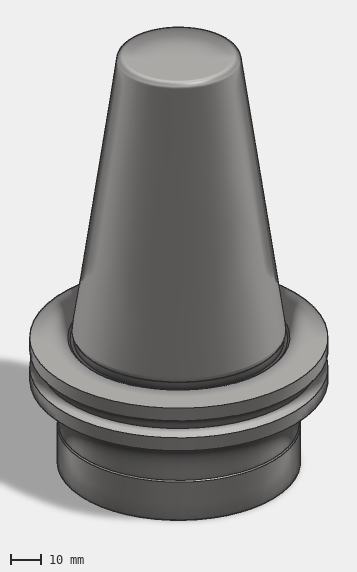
import cadquery as cq
import math

total_height = 151.8
taper_ratio = 7 / 24
gauge_radius = 34.9
gauge_height = 50.1
gauge_land = 1.0
tip_fillet = 2.3

flange_radius = 48.7
flange_bottom = 31.0
flange_top = 46.7
groove_middle = 38.8
groove_mouth = 6.2
groove_floor_radius = 45.4
groove_floor_width = 2.9

neck_radius = 34.5
neck_chamfer = 0.5
relief_outer_radius = 36.3
relief_floor_radius = 35.5
relief_depth = 0.8

collar_radius = 39.8
collar_height = 14.9
collar_chamfer = 0.5
body_radius = 39.3
body_fillet = 0.8

tip_radius = gauge_radius - (total_height - gauge_height) * taper_ratio / 2


def cylinder(radius, bottom, top):
    """Solid cylinder on the Z axis between two heights."""
    return cq.Workplane("XY").workplane(offset=bottom).circle(radius).extrude(top - bottom)


def make_base():
    """Collar with chamfered rims below a slightly slimmer body."""
    collar = cylinder(collar_radius, 0, collar_height).faces("<Z or >Z").chamfer(collar_chamfer)
    return collar.union(cylinder(body_radius, collar_chamfer, flange_bottom))


def make_flange():
    """Flange with a V-sided gripper groove and a relief ring on top."""
    half_mouth = groove_mouth / 2
    half_floor = groove_floor_width / 2
    groove = (
        cq.Workplane("XZ")
        .moveTo(flange_radius, groove_middle - half_mouth)
        .lineTo(groove_floor_radius, groove_middle - half_floor)
        .lineTo(groove_floor_radius, groove_middle + half_floor)
        .lineTo(flange_radius, groove_middle + half_mouth)
        .close()
        .revolve(360, (0, 0, 0), (0, 1, 0))
    )
    relief = (
        cq.Workplane("XZ")
        .moveTo(neck_radius, flange_top)
        .lineTo(neck_radius, flange_top - relief_depth)
        .lineTo(relief_floor_radius, flange_top - relief_depth)
        .lineTo(relief_outer_radius, flange_top)
        .close()
        .revolve(360, (0, 0, 0), (0, 1, 0))
    )
    return cylinder(flange_radius, flange_bottom, flange_top).cut(groove).cut(relief)


def make_taper():
    """Neck, gauge land and 7/24 taper with a rounded tip."""
    land_bottom = gauge_height - gauge_land
    taper = (
        cq.Workplane("XZ")
        .moveTo(0, flange_bottom)
        .lineTo(neck_radius, flange_bottom)
        .lineTo(neck_radius, land_bottom - neck_chamfer)
        .lineTo(gauge_radius, land_bottom)
        .lineTo(gauge_radius, gauge_height)
        .lineTo(tip_radius, total_height)
        .lineTo(0, total_height)
        .close()
        .revolve(360, (0, 0, 0), (0, 1, 0))
    )
    return taper.faces(">Z").edges().fillet(tip_fillet)


def make_body_fillet():
    """Concave ring blending the body into the underside of the flange."""
    start = flange_bottom - body_fillet
    outer = body_radius + body_fillet
    arc_reach = body_fillet * math.sqrt(0.5)
    return (
        cq.Workplane("XZ")
        .moveTo(body_radius, start)
        .threePointArc((outer - arc_reach, start + arc_reach), (outer, flange_bottom))
        .lineTo(body_radius, flange_bottom)
        .close()
        .revolve(360, (0, 0, 0), (0, 1, 0))
    )


result = make_base().union(make_body_fillet()).union(make_flange()).union(make_taper())